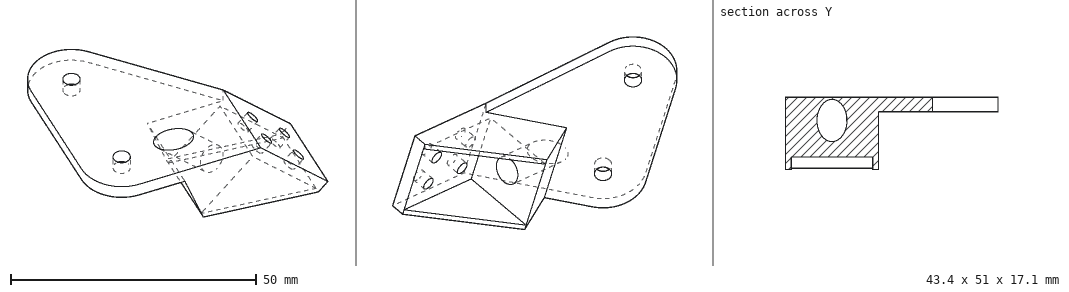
import cadquery as cq
import math

width = 43.35
total_depth = 51.0
total_height = 17.15
plate_depth = 36.0
thickness = 3.0
corner_radius = 9.0
mount_hole_dia = 3.5

flange_width = 19.0
flange_hole_dia = 2.7
flange_hole_pitch_x = 7.1
flange_hole_pitch_y = 7.1

wedge_run = 11.55
wedge_top_depth = 15.65
gusset_thickness = 1.2
bore_dia = 6.0
bore_to_bend = 15.25

flange_left = width - flange_width
flange_center_x = width - flange_width / 2
flange_run = total_depth - plate_depth
underside_shift = thickness * math.sqrt(0.5)
inner_corner = (plate_depth - thickness * (math.sqrt(2) - 1), -thickness)
flange_toe = (total_depth - underside_shift, -total_height)
wedge_tip = (inner_corner[0] - wedge_run, inner_corner[1] - wedge_run)
wedge_back = (inner_corner[0] - wedge_top_depth, -thickness)
bore_reach = total_depth


def side_prism(points, x_start, length):
    """Extrude a Y-Z outline along +X."""
    return cq.Workplane("YZ", origin=(x_start, 0, 0)).polyline(points).close().extrude(length)


def base_plate():
    """Plate with two round corners and a diagonal edge tangent to the left one."""
    r = corner_radius
    dx = flange_left - r
    dy = plate_depth - r
    tangent_angle = math.atan2(dy, dx) + math.acos(r / math.hypot(dx, dy))
    tangent = (r + r * math.cos(tangent_angle), r + r * math.sin(tangent_angle))
    mid_angle = (tangent_angle + 1.5 * math.pi) / 2
    arc_mid = (r + r * math.cos(mid_angle), r + r * math.sin(mid_angle))
    return (
        cq.Workplane("XY")
        .moveTo(r, 0)
        .lineTo(width - r, 0)
        .radiusArc((width, r), -r)
        .lineTo(width, plate_depth)
        .lineTo(flange_left, plate_depth)
        .lineTo(*tangent)
        .threePointArc(arc_mid, (r, 0))
        .close()
        .extrude(-thickness)
        .faces(">Z")
        .workplane(origin=(0, 0, 0))
        .pushPoints([(r, r), (width - r, r)])
        .hole(mount_hole_dia)
    )


def flange():
    """Sloping flange with four holes square to its surface."""
    outline = [(plate_depth, 0), (total_depth, -flange_run), flange_toe, inner_corner]
    body = side_prism(outline, flange_left, flange_width)
    center = (flange_center_x, plate_depth + flange_run / 2, -flange_run / 2)
    slope_plane = cq.Plane(origin=center, xDir=(1, 0, 0), normal=(0, 1, 1))
    holes = (
        cq.Workplane(slope_plane)
        .rarray(flange_hole_pitch_x, flange_hole_pitch_y * math.sqrt(2), 2, 2)
        .circle(flange_hole_dia / 2)
        .extrude(thickness, both=True)
    )
    return body.cut(holes)


def wedge():
    return side_prism([inner_corner, wedge_tip, wedge_back], flange_left, flange_width)


def gusset(x_start):
    """Triangular web between the flange and the wedge."""
    return side_prism([inner_corner, flange_toe, wedge_tip], x_start, gusset_thickness)


def bore():
    """Slanted bore parallel to the flange, through the plate and the wedge."""
    start = (flange_center_x, plate_depth - bore_to_bend, 0)
    plane = cq.Plane(origin=start, xDir=(1, 0, 0), normal=(0, 1, -1))
    return cq.Workplane(plane).circle(bore_dia / 2).extrude(bore_reach, both=True)


result = base_plate().union(flange()).union(wedge())
for gusset_x in (flange_left, width - gusset_thickness):
    result = result.union(gusset(gusset_x))
result = result.cut(bore())